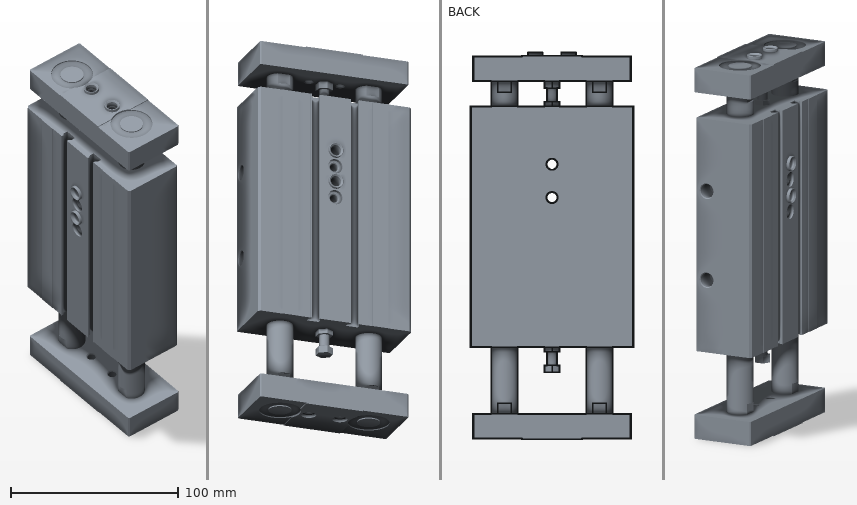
import cadquery as cq
import math


TOTAL_HEIGHT = 231.7
EDGE_CHAMFER = 0.7

HOUSING_WIDTH = 98.0
HOUSING_DEPTH = 37.5
HOUSING_BOTTOM = 55.1
HOUSING_LENGTH = 144.1
FRONT_CHAMFER = 1.6
BAND_RELIEF = 0.2
BAND_INNER = (15.8, 23.6)
BAND_OUTER_START = 33.8

SLOT_INNER = 10.0
SLOT_OUTER = 15.0
SLOT_DEPTH = 5.3
SLOT_LIP = 1.5
SLOT_UNDERCUT = 1.2

PLATE_WIDTH = 95.0
PLATE_DEPTH = 38.5
PLATE_BACK = 21.0
PLATE_THICKNESS = 14.8
PAD_WIDTH = 36.1
PAD_HEIGHT = 0.5
NUT_RECESS_DIAMETER = 25.0
NUT_RECESS_DEPTH = 0.7

ROD_SPACING = 56.8
ROD_DIAMETER = 16.0
ROD_END_DIAMETER = 14.0
PISTON_DIAMETER = 32.0
PISTON_LENGTH = 23.2
FLAT_LENGTH = 6.5
FLAT_DISTANCE = 14.0

HOLE_PITCH = 10.0
SLEEVE_DIAMETER = 9.0
SLEEVE_BORE = 6.5
SLEEVE_LENGTH = 4.0
SLEEVE_MOUTH = 8.3
SLEEVE_CHAMFER = 0.2
FRONT_PROTRUSION = 1.9
TOP_PROTRUSION = 2.0
THREAD_DIAMETER = 4.9
THREAD_MOUTH = 6.0
THREAD_DEPTH = 9.3
DRILL_ANGLE = 118.0
PLATE_HOLE_SPACING = 20.0

PORT_DIAMETER = 8.5
PORT_MOUTH = 9.5
PORT_DEPTH = 12.0
PORT_Y = 11.5
PORT_SPACING = 55.0

STOP_DIAMETER = 6.0
STOP_LENGTH = 15.0
STOP_HEAD_LENGTH = 4.2
STOP_NUT_LENGTH = 2.8
STOP_ACROSS_FLATS = 9.0
STRIKER_DIAMETER = 12.0
STRIKER_THICKNESS = 2.3

HOUSING_TOP = HOUSING_BOTTOM + HOUSING_LENGTH
HOUSING_MIDDLE = HOUSING_BOTTOM + HOUSING_LENGTH / 2
FRONT_Y = -HOUSING_DEPTH / 2
PORT_HEIGHTS = [HOUSING_MIDDLE - PORT_SPACING / 2, HOUSING_MIDDLE + PORT_SPACING / 2]
THREAD_HEIGHTS = [PORT_HEIGHTS[1], PORT_HEIGHTS[1] - 2 * HOLE_PITCH]
SLEEVE_HEIGHTS = [height + HOLE_PITCH for height in THREAD_HEIGHTS]
FRONT_SEAT_Y = FRONT_Y + SLEEVE_LENGTH - FRONT_PROTRUSION
TOP_SEAT_Z = TOTAL_HEIGHT - SLEEVE_LENGTH
TOP_FACE = TOTAL_HEIGHT - TOP_PROTRUSION
PLATE_HEIGHT = PLATE_THICKNESS + PAD_HEIGHT
UPPER_PLATE_BOTTOM = TOP_FACE - PLATE_HEIGHT
PLATE_CENTRE_Y = PLATE_BACK - PLATE_DEPTH / 2
ROD_POSITIONS = [-ROD_SPACING / 2, ROD_SPACING / 2]
PLATE_HOLE_POSITIONS = [-PLATE_HOLE_SPACING / 2, PLATE_HOLE_SPACING / 2]

TO_BACK = cq.Vector(0, 1, 0)
TO_RIGHT = cq.Vector(1, 0, 0)
TO_FRONT = cq.Vector(0, -1, 0)
UP = cq.Vector(0, 0, 1)
DOWN = cq.Vector(0, 0, -1)


def cylinder(diameter, length, start, direction):
    return cq.Workplane(cq.Solid.makeCylinder(diameter / 2, length, start, direction))


def countersink(mouth, diameter, start, direction):
    depth = (mouth - diameter) / 2
    return cq.Workplane(cq.Solid.makeCone(mouth / 2, diameter / 2, depth, start, direction))


def blind_hole(mouth, diameter, depth, start, direction):
    """Countersunk drilled hole with a conical end."""
    tip = diameter / 2 / math.tan(math.radians(DRILL_ANGLE / 2))
    cone = cq.Solid.makeCone(diameter / 2, 0, tip, start + direction * depth, direction)
    hole = cylinder(diameter, depth, start, direction).union(cq.Workplane(cone))
    return hole.union(countersink(mouth, diameter, start, direction))


def make_rod(x):
    """Through rod with a piston, wrench flats next to both plates and reduced ends in the plates."""
    end_low = PAD_HEIGHT
    end_high = TOP_FACE - PAD_HEIGHT
    rod = cylinder(ROD_END_DIAMETER, end_high - end_low, cq.Vector(x, 0, end_low), UP)
    shank_length = UPPER_PLATE_BOTTOM - PLATE_HEIGHT
    rod = rod.union(cylinder(ROD_DIAMETER, shank_length, cq.Vector(x, 0, PLATE_HEIGHT), UP))
    piston_bottom = PORT_HEIGHTS[0] - PISTON_LENGTH / 2
    rod = rod.union(cylinder(PISTON_DIAMETER, PISTON_LENGTH, cq.Vector(x, 0, piston_bottom), UP))
    cut_depth = ROD_DIAMETER - FLAT_DISTANCE
    for z in (PLATE_HEIGHT + FLAT_LENGTH / 2, UPPER_PLATE_BOTTOM - FLAT_LENGTH / 2):
        for side in (-1, 1):
            y = side * (FLAT_DISTANCE + cut_depth) / 2
            flat = cq.Workplane().box(ROD_DIAMETER, cut_depth, FLAT_LENGTH).translate((x, y, z))
            rod = rod.cut(flat)
    return rod


def make_plate():
    """Yoke plate with its pad face on top at Z = PLATE_HEIGHT and its inner face at Z = 0."""
    plate = cq.Workplane().box(PLATE_WIDTH, PLATE_DEPTH, PLATE_THICKNESS, (True, True, False))
    plate = plate.edges("|Z").chamfer(EDGE_CHAMFER)
    pad = cq.Workplane().box(PAD_WIDTH, PLATE_DEPTH, PLATE_HEIGHT, (True, True, False))
    plate = plate.union(pad).translate((0, PLATE_CENTRE_Y, 0))
    for x in ROD_POSITIONS:
        plate = plate.cut(cylinder(ROD_END_DIAMETER, PLATE_HEIGHT, cq.Vector(x, 0, 0), UP))
        recess_floor = cq.Vector(x, 0, PLATE_HEIGHT - PAD_HEIGHT - NUT_RECESS_DEPTH)
        plate = plate.cut(cylinder(NUT_RECESS_DIAMETER, PLATE_HEIGHT, recess_floor, UP))
    sleeve_seat = SLEEVE_LENGTH - TOP_PROTRUSION
    for x in PLATE_HOLE_POSITIONS:
        plate = plate.cut(cylinder(THREAD_DIAMETER, PLATE_HEIGHT, cq.Vector(x, 0, 0), UP))
        plate = plate.cut(countersink(THREAD_MOUTH, THREAD_DIAMETER, cq.Vector(x, 0, 0), UP))
        seat_floor = cq.Vector(x, 0, PLATE_HEIGHT - sleeve_seat)
        plate = plate.cut(cylinder(SLEEVE_DIAMETER, sleeve_seat, seat_floor, UP))
        plate = plate.cut(countersink(THREAD_MOUTH, THREAD_DIAMETER, seat_floor, DOWN))
    return plate


def make_striker():
    """Disc set flush into the lower plate, opposite the lower stop."""
    return cylinder(STRIKER_DIAMETER, STRIKER_THICKNESS, cq.Vector(0, 0, PLATE_HEIGHT), DOWN)


def make_sleeve(seat, direction):
    """Centring sleeve standing on the centre of its seat and pointing along direction."""
    sleeve = cylinder(SLEEVE_DIAMETER, SLEEVE_LENGTH, seat, direction)
    sleeve = sleeve.edges().chamfer(SLEEVE_CHAMFER)
    sleeve = sleeve.cut(cylinder(SLEEVE_BORE, SLEEVE_LENGTH, seat, direction))
    free_end = seat + direction * SLEEVE_LENGTH
    return sleeve.cut(countersink(SLEEVE_MOUTH, SLEEVE_BORE, free_end, -direction))


def slot_profile():
    return [
        (SLOT_INNER, 0),
        (SLOT_INNER, SLOT_LIP),
        (SLOT_INNER - SLOT_UNDERCUT, SLOT_LIP + SLOT_UNDERCUT),
        (SLOT_INNER - SLOT_UNDERCUT, SLOT_DEPTH),
        (SLOT_OUTER + SLOT_UNDERCUT, SLOT_DEPTH),
        (SLOT_OUTER + SLOT_UNDERCUT, SLOT_LIP + SLOT_UNDERCUT),
        (SLOT_OUTER, SLOT_LIP),
        (SLOT_OUTER, 0),
    ]


def make_stop():
    """Hexagon stop screw with its lock nut, seated on Z = 0 and pointing up."""
    hexagon_diameter = STOP_ACROSS_FLATS / math.cos(math.pi / 6)
    stop = cq.Workplane().circle(STOP_DIAMETER / 2).extrude(STOP_LENGTH)
    for base, length in ((0, STOP_NUT_LENGTH), (STOP_LENGTH - STOP_HEAD_LENGTH, STOP_HEAD_LENGTH)):
        hexagon = cq.Workplane().polygon(6, hexagon_diameter).extrude(length)
        stop = stop.union(hexagon.rotate((0, 0, 0), (0, 0, 1), 90).translate((0, 0, base)))
    return stop


def make_block():
    """Extruded housing block with chamfered corners, shallow bands and undercut slots on its front."""
    block = cq.Workplane().box(HOUSING_WIDTH, HOUSING_DEPTH, HOUSING_LENGTH)
    block = block.edges("|Z and <Y").chamfer(FRONT_CHAMFER)
    block = block.edges("|Z and >Y").chamfer(EDGE_CHAMFER)
    block = block.translate((0, 0, HOUSING_MIDDLE))
    for side in (-1, 1):
        for start, end in (BAND_INNER, (BAND_OUTER_START, HOUSING_WIDTH / 2)):
            band = cq.Workplane().box(end - start, 2 * BAND_RELIEF, HOUSING_LENGTH)
            block = block.cut(band.translate((side * (start + end) / 2, FRONT_Y, HOUSING_MIDDLE)))
        outline = [(side * x, FRONT_Y + depth) for x, depth in slot_profile()]
        slot = cq.Workplane().polyline(outline).close().extrude(HOUSING_LENGTH)
        block = block.cut(slot.translate((0, 0, HOUSING_BOTTOM)))
    return block


def cut_mounting_holes(block):
    """Through holes behind the sleeves, alternating with threaded blind holes."""
    for z in SLEEVE_HEIGHTS + THREAD_HEIGHTS:
        seat = cylinder(SLEEVE_DIAMETER, FRONT_SEAT_Y - FRONT_Y, cq.Vector(0, FRONT_Y, z), TO_BACK)
        block = block.cut(seat)
    for z in SLEEVE_HEIGHTS:
        block = block.cut(cylinder(SLEEVE_BORE, HOUSING_DEPTH, cq.Vector(0, FRONT_Y, z), TO_BACK))
    for z in THREAD_HEIGHTS:
        seat_centre = cq.Vector(0, FRONT_SEAT_Y, z)
        block = block.cut(blind_hole(THREAD_MOUTH, THREAD_DIAMETER, THREAD_DEPTH, seat_centre, TO_BACK))
    return block


def cut_ports(block):
    """Air ports on the left side; the lower one reaches the piston."""
    for z in PORT_HEIGHTS:
        mouth_centre = cq.Vector(-HOUSING_WIDTH / 2, PORT_Y, z)
        block = block.cut(blind_hole(PORT_MOUTH, PORT_DIAMETER, PORT_DEPTH, mouth_centre, TO_RIGHT))
    return block


def make_housing(rods):
    """Housing with a stop screw at each end and room for the rods."""
    housing = cut_ports(cut_mounting_holes(make_block()))
    upper_stop = make_stop().translate((0, 0, HOUSING_TOP))
    lower_stop = make_stop().rotate((0, 0, 0), (1, 0, 0), 180).translate((0, 0, HOUSING_BOTTOM))
    housing = housing.union(upper_stop).union(lower_stop)
    for rod in rods:
        housing = housing.cut(rod)
    return housing


rods = [make_rod(x) for x in ROD_POSITIONS]
housing = make_housing(rods)

striker = make_striker()
upper_plate = make_plate().translate((0, 0, UPPER_PLATE_BOTTOM))
lower_plate = make_plate().mirror("XY").translate((0, 0, PLATE_HEIGHT)).cut(striker)

sleeves = [make_sleeve(cq.Vector(0, FRONT_SEAT_Y, z), TO_FRONT) for z in SLEEVE_HEIGHTS]
sleeves += [make_sleeve(cq.Vector(x, 0, TOP_SEAT_Z), UP) for x in PLATE_HOLE_POSITIONS]

bodies = [housing, upper_plate, lower_plate, striker] + rods + sleeves
result = cq.Compound.makeCompound([body.val() for body in bodies])